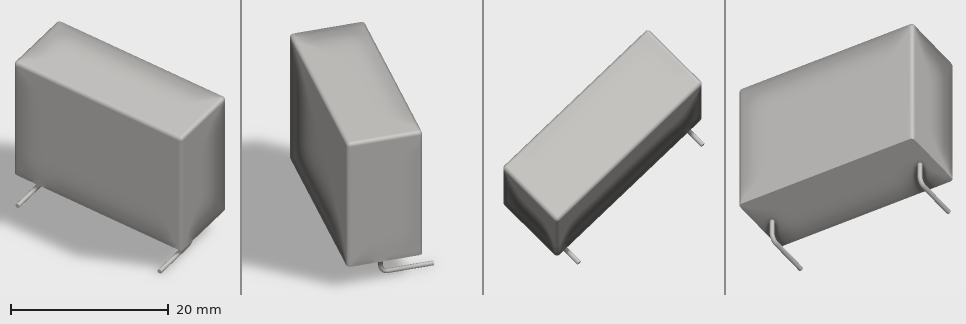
import cadquery as cq

body_length = 26.0
body_depth = 10.0
body_height = 19.0
edge_radius = 0.5

lead_diameter = 0.62
lead_pitch = 22.0
lead_drop = 3.0
lead_overhang = 2.0
bend_radius = 1.0


def make_body():
    """Block with rounded upright and top edges and a sharp-edged underside."""
    block = cq.Workplane("XY").box(
        body_length, body_depth, body_height, centered=(True, True, False)
    )
    return block.edges("|Z or >Z").fillet(edge_radius)


def make_lead(x):
    """Round wire leaving the underside at mid-depth and bending forward."""
    bend_start = -(lead_drop - bend_radius)
    tip_y = -(body_depth / 2 + lead_overhang)
    path = (
        cq.Workplane("YZ", origin=(x, 0, 0))
        .moveTo(0, 0)
        .lineTo(0, bend_start)
        .tangentArcPoint((-bend_radius, -lead_drop), relative=False)
        .lineTo(tip_y, -lead_drop)
    )
    return cq.Workplane("XY", origin=(x, 0, 0)).circle(lead_diameter / 2).sweep(path)


result = make_body()
for side in (-1, 1):
    result = result.union(make_lead(side * lead_pitch / 2))